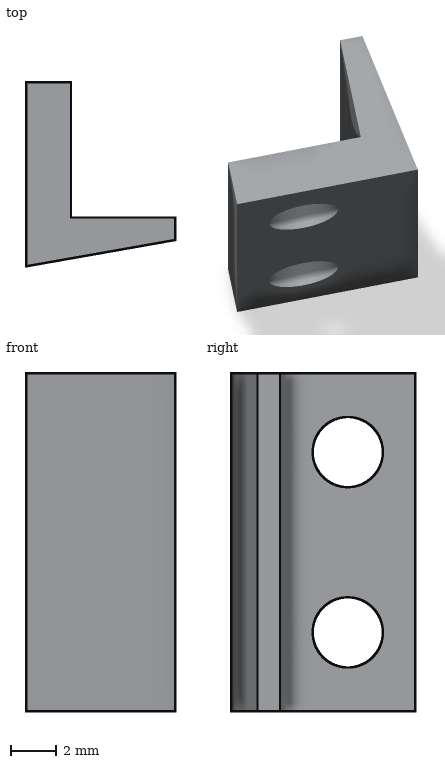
import cadquery as cq
import math

width = 6.62
depth = 8.18
height = 15.0

straight_leg_thickness = 2.0
straight_leg_inner_length = 6.0
taper_angle = 10.0
inner_face_y = depth - straight_leg_inner_length
taper_tip_y = width * math.tan(math.radians(taper_angle))

hole_diameter = 3.1
hole_spacing = 8.0
hole_y = depth - straight_leg_inner_length / 2


def angle_body():
    """Extrude the L-shaped section; its outer corner lies at the origin."""
    return (
        cq.Workplane("XY")
        .moveTo(0, 0)
        .lineTo(width, taper_tip_y)
        .lineTo(width, inner_face_y)
        .lineTo(straight_leg_thickness, inner_face_y)
        .lineTo(straight_leg_thickness, depth)
        .lineTo(0, depth)
        .close()
        .extrude(height)
    )


def leg_holes():
    """Make the cylinders that cut through the straight leg along X."""
    return (
        cq.Workplane("YZ")
        .pushPoints([(hole_y, height / 2 + side * hole_spacing / 2) for side in (-1, 1)])
        .circle(hole_diameter / 2)
        .extrude(straight_leg_thickness)
    )


result = angle_body().cut(leg_holes())